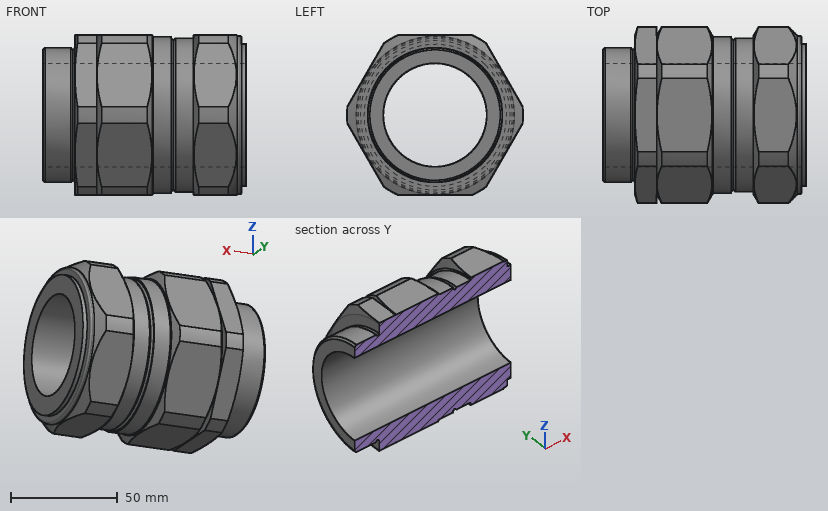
import cadquery as cq
import math


across_flats = 75.0
across_corners = across_flats / math.cos(math.radians(30))
corner_radius = 41.2
bevel_radius = 37.05
bore_radius = 24.1

bevel_height = corner_radius - bevel_radius
flange_bevel = 1.3
body_bevel = bevel_height * math.tan(math.radians(30))
nut_rear_bevel = bevel_height * math.tan(math.radians(45))

thread_radius = 31.5
thread_chamfer = 1.0
thread_root = thread_radius - thread_chamfer
thread_end = 13.0
undercut = thread_end + thread_chamfer

flange_start = 14.9
body_start = 25.1
body_end = 51.2
collar_start = 51.7
collar_end = 59.9
nut_start = 70.4
rim_start = 90.9
rim_end = 92.9
total_length = 95.0

collar_radius = 36.7
neck_radius = 36.0
groove_depth = 1.0
groove_middle = collar_end + groove_depth
groove_end = groove_middle + groove_depth

rim_rounding = 0.95
seal_radius = 33.25


def turned(profile):
    """Close an (x, radius) profile and revolve it about the X axis."""
    return profile.close().revolve(360, (0, 0, 0), (1, 0, 0))


def hexagon(start, end, front_bevel, rear_bevel):
    """Hexagonal bar with flats at +Z and -Z, corners turned and ends bevelled."""
    bar = (
        cq.Workplane("YZ", origin=(start, 0, 0))
        .polygon(6, across_corners)
        .extrude(end - start)
    )
    envelope = turned(
        cq.Workplane("XY")
        .moveTo(start, 0)
        .lineTo(start, bevel_radius)
        .lineTo(start + front_bevel, corner_radius)
        .lineTo(end - rear_bevel, corner_radius)
        .lineTo(end, bevel_radius)
        .lineTo(end, 0)
    )
    return bar.intersect(envelope)


def entry_thread():
    """Chamfered thread ending in a V undercut against the flange."""
    return turned(
        cq.Workplane("XY")
        .moveTo(0, 0)
        .lineTo(0, thread_root)
        .lineTo(thread_chamfer, thread_radius)
        .lineTo(thread_end, thread_radius)
        .lineTo(undercut, thread_root)
        .lineTo(flange_start, thread_root + flange_start - undercut)
        .lineTo(flange_start, 0)
    )


def collars():
    """Collar behind the body, V groove, and the neck that enters the nut."""
    return turned(
        cq.Workplane("XY")
        .moveTo(body_end, 0)
        .lineTo(body_end, bevel_radius)
        .lineTo(collar_start, collar_radius)
        .lineTo(collar_end, collar_radius)
        .lineTo(collar_end, neck_radius)
        .lineTo(groove_middle, neck_radius - groove_depth)
        .lineTo(groove_end, neck_radius)
        .lineTo(nut_start, neck_radius)
        .lineTo(nut_start, 0)
    )


def rim():
    """Rounded rim of the nut with the seal ring standing out of it."""
    return turned(
        cq.Workplane("XY")
        .moveTo(rim_start, 0)
        .lineTo(rim_start, bevel_radius)
        .lineTo(rim_end - rim_rounding, bevel_radius)
        .radiusArc((rim_end, bevel_radius - rim_rounding), rim_rounding)
        .lineTo(rim_end, seal_radius)
        .lineTo(total_length, seal_radius)
        .lineTo(total_length, 0)
    )


flange = hexagon(flange_start, body_start, flange_bevel, 0)
body = hexagon(body_start, body_end, body_bevel, body_bevel)
nut = hexagon(nut_start, rim_start, body_bevel, nut_rear_bevel)
bore = cq.Workplane("YZ").circle(bore_radius).extrude(total_length)

result = entry_thread()
for section in (flange, body, collars(), nut, rim()):
    result = result.union(section)
result = result.cut(bore)